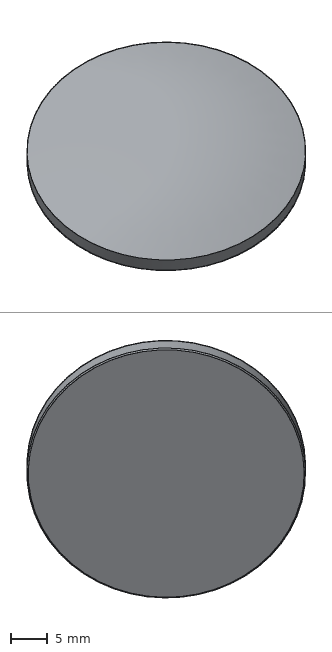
import cadquery as cq
import math

diameter = 38.1
center_thickness = 6.15
edge_thickness = 2.5
bottom_bevel = 0.2

radius = diameter / 2
sag = center_thickness - edge_thickness
sphere_radius = (radius**2 + sag**2) / (2 * sag)

arc_mid_x = radius / 2
arc_mid_z = center_thickness - sphere_radius + math.sqrt(sphere_radius**2 - arc_mid_x**2)

half_section = (
    cq.Workplane("XZ")
    .lineTo(radius - bottom_bevel, 0)
    .lineTo(radius, bottom_bevel)
    .lineTo(radius, edge_thickness)
    .threePointArc((arc_mid_x, arc_mid_z), (0, center_thickness))
    .close()
)

result = half_section.revolve(360, (0, 0, 0), (0, 1, 0))